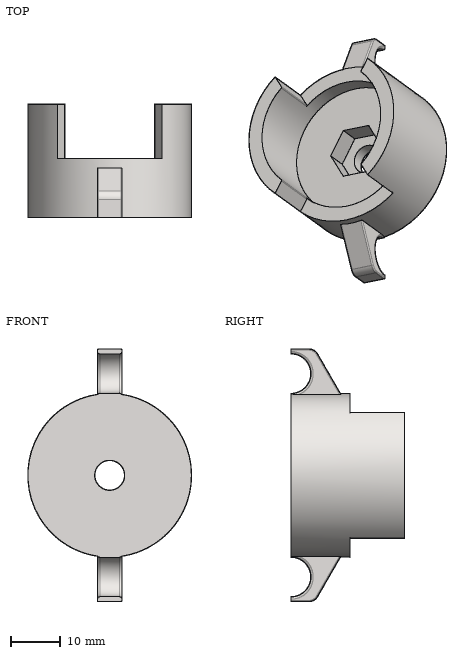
import cadquery as cq
import math

body_radius = 16.6
body_length = 23.0
leg_wall = 3.0
bore_radius = body_radius - leg_wall
floor_thickness = 8.0

hole_radius = 3.0
hole_depth = 3.0
nut_across_flats = 10.0
nut_across_corners = nut_across_flats / math.cos(math.radians(30))

gap_start = 12.0
gap_outer_half_width = 10.6
gap_side_angle = math.radians(31)
leg_edge_radius = 0.2

hook_width = 5.0
hook_base_length = 10.0
hook_mouth_radius = 4.0
hook_tip_thickness = 1.0
hook_back_angle = math.radians(60)
hook_corner_radius = 2.0
hook_outer_edge_radius = 0.25
hook_mouth_edge_radius = 0.5
hook_height = 2 * hook_mouth_radius + hook_tip_thickness
hook_tip_z = body_radius + hook_height
mouth_center_z = body_radius + hook_mouth_radius


def plane_at(y):
    """Work plane across the body axis; negative extrusions run towards +Y."""
    return cq.Workplane("XZ", origin=(0, y, 0))


def cylinder(radius, start, end):
    """Solid cylinder on the body axis between two Y positions."""
    return plane_at(start).circle(radius).extrude(start - end)


def gap_cutter():
    """Pair of opposed gaps, each widening outwards from the axis."""
    taper = math.tan(gap_side_angle)
    corner_z = math.sqrt(body_radius**2 - gap_outer_half_width**2)
    axis_half_width = gap_outer_half_width - corner_z * taper
    top_half_width = axis_half_width + body_radius * taper
    outline = [
        (-axis_half_width, 0),
        (axis_half_width, 0),
        (top_half_width, body_radius),
        (-top_half_width, body_radius),
    ]
    upper = plane_at(gap_start).polyline(outline).close().extrude(gap_start - body_length)
    return upper.union(upper.mirror("XY"))


def make_body():
    """Cup with two legs, their inner edges along Y rounded."""
    body = cylinder(body_radius, 0, body_length)
    body = body.cut(cylinder(bore_radius, floor_thickness, body_length))
    body = body.cut(gap_cutter())
    inner_edge_zone = cq.selectors.BoxSelector(
        (-gap_outer_half_width, gap_start, -bore_radius * math.cos(gap_side_angle)),
        (gap_outer_half_width, body_length, bore_radius * math.cos(gap_side_angle)),
    )
    body = body.edges("|Y").edges(inner_edge_zone).fillet(leg_edge_radius)
    screw_hole = cylinder(hole_radius, 0, hole_depth)
    nut_pocket = plane_at(hole_depth).polygon(6, nut_across_corners).extrude(hole_depth - floor_thickness)
    return body.cut(screw_hole).cut(nut_pocket)


def make_hook():
    """Upper hook: sloped back, flat tip and a half-round mouth open at the front."""
    back_run = 1 / math.tan(hook_back_angle)
    root_z = body_radius - leg_wall / 2
    root_y = hook_base_length + (body_radius - root_z) * back_run
    tip_y = hook_base_length - hook_height * back_run
    outline = [(0, root_z), (root_y, root_z), (tip_y, hook_tip_z), (0, hook_tip_z)]
    hook = cq.Workplane("YZ").polyline(outline).close().extrude(hook_width / 2, both=True)

    corner = cq.selectors.NearestToPointSelector((0, tip_y, hook_tip_z))
    hook = hook.edges(corner).fillet(hook_corner_radius)
    hook = hook.faces(">Z").edges(">X or <X").fillet(hook_outer_edge_radius)

    mouth_plane = cq.Workplane("YZ", origin=(0, 0, mouth_center_z))
    hook = hook.cut(mouth_plane.circle(hook_mouth_radius).extrude(hook_width, both=True))
    return hook.edges("%CIRCLE").edges(">X or <X").fillet(hook_mouth_edge_radius)


upper_hook = make_hook()
lower_hook = upper_hook.mirror("XY")
result = make_body().union(upper_hook).union(lower_hook)